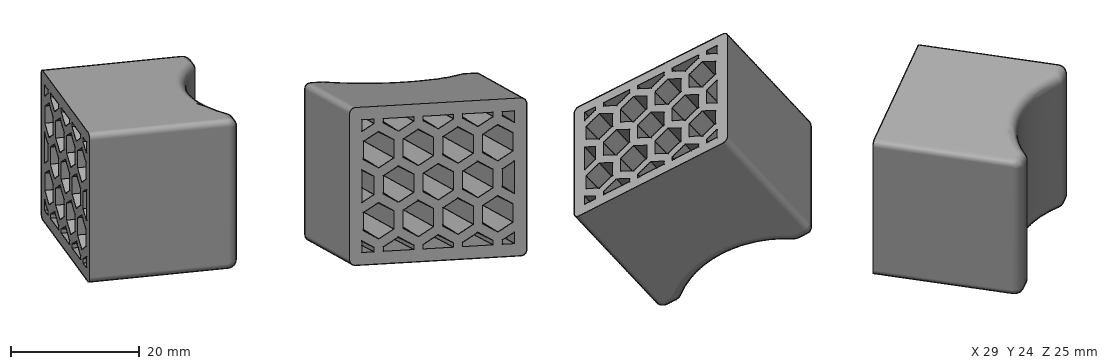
import cadquery as cq
import math

width = 29.0
depth = 24.0
height = 25.0
long_edge_radius = 1.0
back_edge_radius = 1.5

saddle_radius = 17.25
saddle_depth = 4.0
saddle_axis_y = depth - saddle_depth + saddle_radius

side_wall = 2.0
floor_thickness = 3.0

cell_flats = 5.0
rib = 1.5
draft_angle = 1.0
cell_pitch = cell_flats + rib
row_pitch = cell_pitch * math.sqrt(3) / 2
row_reach = 2
column_reach = 2


def saddled_box(size_x, size_y, size_z, radius):
    """Box from y = 0 with a cylinder about the saddle axis taken out of its +Y side."""
    box = cq.Workplane("XY").box(size_x, size_y, size_z, centered=(True, False, True))
    saddle = cq.Workplane("XY").center(0, saddle_axis_y).circle(radius).extrude(size_z, both=True)
    return box.cut(saddle)


def rounded_block():
    block = saddled_box(width, depth, height, saddle_radius)
    block = block.edges("not (|Y or <Y)").fillet(back_edge_radius)
    return block.edges("|Y").fillet(long_edge_radius)


def honeycomb_cells():
    """Tapered hexagonal cells, pointing up, in staggered rows centered on the block."""
    outline = cq.Workplane("XZ").polygon(6, cell_flats, circumscribed=True)
    cell = outline.extrude(-depth, taper=draft_angle).val()
    cells = []
    for row in range(-row_reach, row_reach + 1):
        stagger = cell_pitch / 2 if row % 2 else 0
        for column in range(-column_reach, column_reach + 1):
            cells.append(cell.moved(cq.Location((column * cell_pitch + stagger, 0, row * row_pitch))))
    return cq.Workplane(cq.Compound.makeCompound(cells))


def honeycomb_pocket():
    pocket = saddled_box(
        width - 2 * side_wall,
        depth - floor_thickness,
        height - 2 * side_wall,
        saddle_radius + floor_thickness,
    )
    return pocket.intersect(honeycomb_cells())


result = rounded_block().cut(honeycomb_pocket())